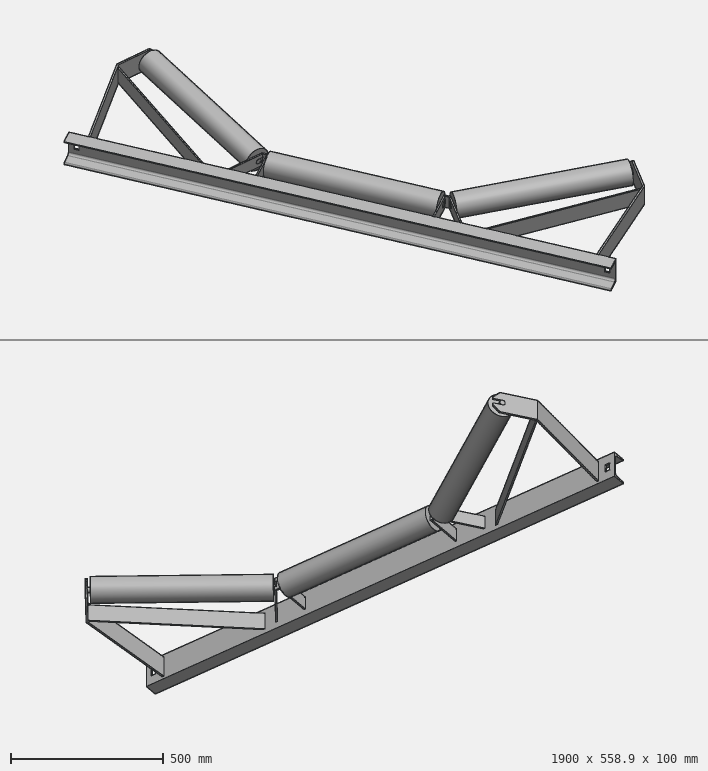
import cadquery as cq
import math


channel_length = 1900.0
channel_height = 100.0
channel_depth = channel_height / 2
web_thickness = 6.0
flange_tip_thickness = 6.5
flange_taper = 0.08
root_radius = 8.5
tip_radius = 4.5
mount_slot_inset = 28.0
mount_slot_width = 17.0
mount_slot_height = 28.0

roller_diameter = 90.0
roller_length = 600.0
shaft_diameter = 19.0
trough_angle = 35.0
middle_roller_y = 167.0
side_roller_x = 587.0
side_roller_y = 350.0

inner_width = 50.0
inner_thickness = 5.0
inner_gap = 4.2
inner_top_y = 190.0
outer_width = 80.0
outer_thickness = 6.8
outer_gap = 9.9
outer_corner_y = 431.0
outer_leg_foot_x = 885.0
outer_tip_rise = 32.0
outer_tip_chamfer = 23.0

strut_thickness = 5.0
strut_width = 65.0
strut_foot_x = 467.0

roller_radius = roller_diameter / 2
cos_trough = math.cos(math.radians(trough_angle))
sin_trough = math.sin(math.radians(trough_angle))
inner_near = roller_length / 2 + inner_gap
inner_far = inner_near + inner_thickness
outer_near = roller_length / 2 + outer_gap
outer_far = outer_near + outer_thickness


def side_roller_point(along, across):
    """Point given along the +X side roller's axis (outward) and square to it (upward)."""
    x = side_roller_x + along * cos_trough - across * sin_trough
    y = side_roller_y + along * sin_trough + across * cos_trough
    return x, y


def across_at_y(along, y):
    """Distance square to the side roller's axis at which a point has the given Y."""
    return (y - side_roller_y - along * sin_trough) / cos_trough


def plate(points, width):
    """Extrude an XY outline evenly to both sides of Z = 0."""
    return cq.Workplane("XY").workplane(offset=-width / 2).polyline(points).close().extrude(width)


def mirrored_pair(body):
    """The +X body and its mirror image at -X."""
    return [body.val(), body.mirror("YZ").val()]


def make_channel():
    half_height = channel_height / 2
    flange_run = channel_depth - web_thickness
    tip_z = half_height - flange_tip_thickness
    root_z = tip_z - flange_taper * flange_run
    web_y = channel_depth - web_thickness
    profile = [
        (0, -half_height),
        (channel_depth, -half_height),
        (channel_depth, half_height),
        (0, half_height),
        (0, tip_z),
        (web_y, root_z),
        (web_y, -root_z),
        (0, -tip_z),
    ]
    channel = cq.Workplane("YZ").polyline(profile).close().extrude(channel_length)
    channel = channel.translate((-channel_length / 2, 0, 0))
    for z in (-root_z, root_z):
        channel = channel.edges(cq.selectors.NearestToPointSelector((0, web_y, z))).fillet(root_radius)
    for z in (-tip_z, tip_z):
        channel = channel.edges(cq.selectors.NearestToPointSelector((0, 0, z))).fillet(tip_radius)
    slot_x = channel_length / 2 - mount_slot_inset
    slots = (
        cq.Workplane("XZ", origin=(0, channel_depth, 0))
        .pushPoints([(-slot_x, 0), (slot_x, 0)])
        .rect(mount_slot_width, mount_slot_height)
        .extrude(web_thickness)
    )
    return channel.cut(slots)


def rod(diameter, start, end):
    """A round bar on the X axis."""
    return cq.Workplane("YZ", origin=(start, 0, 0)).circle(diameter / 2).extrude(end - start)


def make_roller(left_shaft_end, right_shaft_end):
    """A roller centred on the origin with its axis on X."""
    drum = rod(roller_diameter, -roller_length / 2, roller_length / 2)
    return drum.union(rod(shaft_diameter, -left_shaft_end, right_shaft_end))


def to_side_roller(body):
    """Move a body from the origin and X axis to the +X side roller's centre and axis."""
    return body.rotate((0, 0, 0), (0, 0, 1), trough_angle).translate((side_roller_x, side_roller_y, 0))


def make_rollers():
    middle = make_roller(inner_far, inner_far).translate((0, middle_roller_y, 0))
    side = to_side_roller(make_roller(inner_far, outer_far))
    return [middle.val(), *mirrored_pair(side)]


def make_shaft_slot(start, end):
    """A slot through a plate between two X stations, for a shaft on the X axis."""
    mouth = cq.Workplane("XY").box(end - start, roller_radius, shaft_diameter)
    return rod(shaft_diameter, start, end).union(mouth.translate(((start + end) / 2, roller_radius / 2, 0)))


def make_inner_bracket():
    under_y = inner_top_y - inner_thickness

    def on_slope(along, y):
        return side_roller_point(along, across_at_y(along, y))

    outline = [
        (inner_near, channel_depth),
        (inner_near, inner_top_y),
        on_slope(-inner_near, inner_top_y),
        on_slope(-inner_near, channel_depth),
        on_slope(-inner_far, channel_depth),
        on_slope(-inner_far, under_y),
        (inner_far, under_y),
        (inner_far, channel_depth),
    ]
    middle_slot = make_shaft_slot(inner_near, inner_far).translate((0, middle_roller_y, 0))
    side_slot = to_side_roller(make_shaft_slot(-inner_far, -inner_near))
    return plate(outline, inner_width).cut(middle_slot).cut(side_slot)


outer_corner = side_roller_point(outer_far, across_at_y(outer_far, outer_corner_y))
leg_lean = (outer_corner[0] - outer_leg_foot_x) / (outer_corner_y - channel_depth)
leg_thickness_x = outer_thickness * math.hypot(1, leg_lean)


def leg_inner_x(y):
    """X of the leg's inner face at the given Y."""
    return outer_leg_foot_x - leg_thickness_x + leg_lean * (y - channel_depth)


def fold_inner_corner():
    """Where the inner faces of the leg and the folded end meet."""
    foot_x, foot_y = side_roller_point(outer_near, 0)
    fold_run = -sin_trough / cos_trough
    y = channel_depth + (foot_x - leg_inner_x(channel_depth) - fold_run * (foot_y - channel_depth)) / (
        leg_lean - fold_run
    )
    return leg_inner_x(y), y


def make_outer_bracket():
    outline = [
        (outer_leg_foot_x, channel_depth),
        outer_corner,
        side_roller_point(outer_far, outer_tip_rise),
        side_roller_point(outer_near, outer_tip_rise),
        fold_inner_corner(),
        (leg_inner_x(channel_depth), channel_depth),
    ]
    bracket = plate(outline, outer_width)
    tip_x, tip_y = side_roller_point((outer_near + outer_far) / 2, outer_tip_rise)
    for side in (-1, 1):
        tip_edge = cq.selectors.NearestToPointSelector((tip_x, tip_y, side * outer_width / 2))
        bracket = bracket.edges(tip_edge).chamfer(outer_tip_chamfer)
    return bracket.cut(to_side_roller(make_shaft_slot(outer_near, outer_far)))


def make_strut():
    top_x, top_y = fold_inner_corner()
    rise = top_y - channel_depth
    slope = rise / (top_x - strut_foot_x)
    lower_foot_x = strut_foot_x + strut_thickness * math.hypot(1, 1 / slope)
    lower_reach = (leg_inner_x(channel_depth) - lower_foot_x) / (1 - slope * leg_lean)
    outline = [
        (strut_foot_x, channel_depth),
        (lower_foot_x, channel_depth),
        (lower_foot_x + lower_reach, channel_depth + slope * lower_reach),
        (top_x, top_y),
    ]
    return plate(outline, strut_width)


channel = make_channel()
rollers = make_rollers()
inner_brackets = mirrored_pair(make_inner_bracket())
outer_brackets = mirrored_pair(make_outer_bracket())
struts = mirrored_pair(make_strut())

result = cq.Compound.makeCompound([channel.val(), *rollers, *inner_brackets, *outer_brackets, *struts])